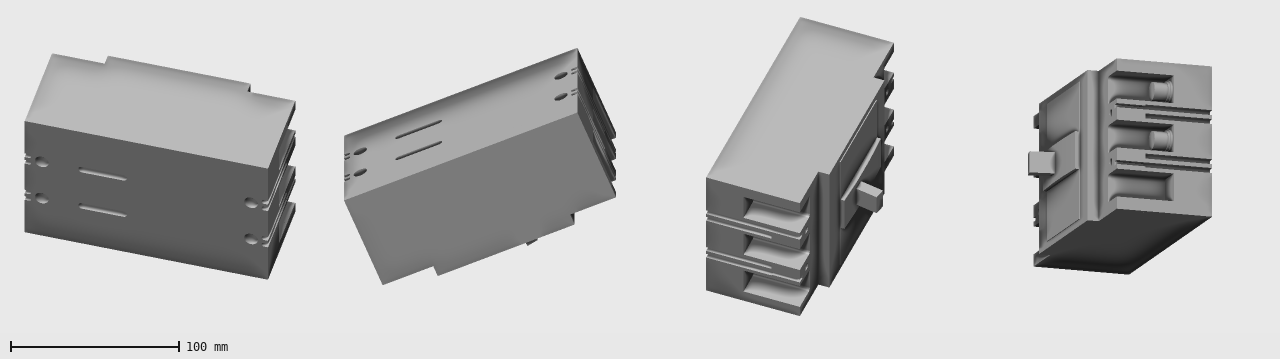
import cadquery as cq
import math


LENGTH = 150.0
HEIGHT = 92.0
BASE_TOP = 42.0
LEDGE_TOP = 60.0
COVER_TOP = 67.0
OVERALL_DEPTH = 86.0
RAISED_LEFT = -42.5
RAISED_LENGTH = 88.0

POLE_PITCH = 30.0
POLE_LEVELS = (-POLE_PITCH, 0.0, POLE_PITCH)
POCKET_FLOOR = 24.0
POCKET_DEPTH = 16.0
POCKET_WIDTH = 17.0
POCKET_CORNER_RADIUS = 2.0

BARRIER_LEVELS = (-POLE_PITCH / 2, POLE_PITCH / 2)
ENDS = (-1, 1)
GROOVE_DEPTH = 4.0
GROOVE_WIDTH = 3.0
GROOVE_OFFSET = 2.7
COVER_GROOVE_WIDTH = 2.4
COVER_GROOVE_OFFSET = GROOVE_OFFSET - (GROOVE_WIDTH - COVER_GROOVE_WIDTH) / 2

MOUNT_HOLE_X = 64.5
MOUNT_HOLE_DIAMETER = 4.5
COUNTERBORE_DIAMETER = 8.5
COUNTERBORE_DEPTH = 8.0

BACK_SLOT_X = -27.0
BACK_SLOT_LENGTH = 30.0
BACK_SLOT_WIDTH = 4.5
BACK_SLOT_DEPTH = 5.0

PLATE_LENGTH = 58.0
PLATE_HEIGHT = 84.0
PLATE_THICKNESS = 0.6
COLLAR_HEIGHT = 23.0
COLLAR_EDGE = 70.1
COLLAR_CROWN = 71.0

LEVER_TILT = 10.0
LEVER_THICKNESS = 7.0
LEVER_WIDTH = 13.0
LEVER_FOOT_X = 8.3

SCREW_LEVELS = (0.0, POLE_PITCH)
SCREW_X = -66.2
SCREW_HEAD_DIAMETER = 11.2
SCREW_HEAD_TOP = 35.0
SPRING_WASHER_DIAMETER = 13.0
SPRING_WASHER_THICKNESS = 1.4
FLAT_WASHER_DIAMETER = 14.3
FLAT_WASHER_THICKNESS = 1.3


def block(x_min, x_max, y_min, y_max, height, z_center=0.0):
    """Box between two X and two Y limits, centred on a Z level."""
    return cq.Workplane("XY").box(
        x_max - x_min, y_max - y_min, height, centered=(False, False, True)
    ).translate((x_min, y_min, z_center))


def rod(x, z, diameter, y_min, y_max):
    """Cylinder along Y."""
    return cq.Workplane(cq.Solid.makeCylinder(
        diameter / 2, y_max - y_min, cq.Vector(x, y_min, z), cq.Vector(0, 1, 0)
    ))


def end_block(end, depth, y_min, y_max, height, z_center):
    """Box reaching inwards from one end face of the housing."""
    outer = end * LENGTH / 2
    inner = end * (LENGTH / 2 - depth)
    return block(min(outer, inner), max(outer, inner), y_min, y_max, height, z_center)


def terminal_pocket(end, z):
    inner_edges = ">X" if end < 0 else "<X"
    pocket = end_block(end, POCKET_DEPTH, POCKET_FLOOR, LEDGE_TOP, POCKET_WIDTH, z)
    return pocket.faces(inner_edges).edges("|Y").fillet(POCKET_CORNER_RADIUS)


def barrier_groove(end, z):
    """Round-bottomed groove in the base."""
    radius = GROOVE_WIDTH / 2
    flank = end_block(end, GROOVE_DEPTH - radius, 0, BASE_TOP, GROOVE_WIDTH, z)
    return flank.union(rod(end * (LENGTH / 2 - GROOVE_DEPTH + radius), z, GROOVE_WIDTH, 0, BASE_TOP))


def back_slot(z):
    return (
        cq.Workplane("XZ")
        .center(BACK_SLOT_X, z)
        .slot2D(BACK_SLOT_LENGTH, BACK_SLOT_WIDTH)
        .extrude(-BACK_SLOT_DEPTH)
    )


def make_base():
    base = block(-LENGTH / 2, LENGTH / 2, 0, BASE_TOP, HEIGHT)
    for end in ENDS:
        for z in POLE_LEVELS:
            base = base.cut(terminal_pocket(end, z))
        for z in BARRIER_LEVELS:
            base = base.cut(barrier_groove(end, z - GROOVE_OFFSET))
            base = base.cut(barrier_groove(end, z + GROOVE_OFFSET))
            base = base.cut(rod(end * MOUNT_HOLE_X, z, MOUNT_HOLE_DIAMETER, 0, BASE_TOP))
            base = base.cut(rod(end * MOUNT_HOLE_X, z, COUNTERBORE_DIAMETER, 0, COUNTERBORE_DEPTH))
    for z in BARRIER_LEVELS:
        base = base.cut(back_slot(z))
    return base


def make_cover():
    cover = block(-LENGTH / 2, LENGTH / 2, BASE_TOP, LEDGE_TOP, HEIGHT)
    raised = block(RAISED_LEFT, RAISED_LEFT + RAISED_LENGTH, LEDGE_TOP, COVER_TOP, HEIGHT)
    cover = cover.union(raised)
    for end in ENDS:
        for z in POLE_LEVELS:
            cover = cover.cut(terminal_pocket(end, z))
        for z in BARRIER_LEVELS:
            groove_z = z + math.copysign(COVER_GROOVE_OFFSET, z)
            cover = cover.cut(
                end_block(end, GROOVE_DEPTH, BASE_TOP, LEDGE_TOP, COVER_GROOVE_WIDTH, groove_z)
            )
            cover = cover.cut(rod(end * MOUNT_HOLE_X, z, MOUNT_HOLE_DIAMETER, BASE_TOP, LEDGE_TOP))
    return cover


def make_face_plate():
    """Thin plate with a crowned collar across its middle."""
    half = PLATE_LENGTH / 2
    plate = block(-half, half, COVER_TOP, COVER_TOP + PLATE_THICKNESS, PLATE_HEIGHT)
    collar = (
        cq.Workplane("XY")
        .workplane(offset=-COLLAR_HEIGHT / 2)
        .moveTo(-half, COVER_TOP)
        .lineTo(-half, COLLAR_EDGE)
        .threePointArc((0, COLLAR_CROWN), (half, COLLAR_EDGE))
        .lineTo(half, COVER_TOP)
        .close()
        .extrude(COLLAR_HEIGHT)
    )
    return plate.union(collar)


def make_lever(face_plate):
    """Tilted bar whose foot follows the crown of the collar."""
    tilt = math.radians(LEVER_TILT)
    tip_center_y = OVERALL_DEPTH - LEVER_THICKNESS / 2 * math.sin(tilt)
    foot_inset = (COLLAR_CROWN - COVER_TOP) / 2
    bar_length = (tip_center_y - COLLAR_CROWN) / math.cos(tilt)
    bar = block(-LEVER_THICKNESS / 2, LEVER_THICKNESS / 2, -foot_inset, bar_length, LEVER_WIDTH)
    bar = bar.rotate((0, 0, 0), (0, 0, 1), -LEVER_TILT)
    return bar.translate((LEVER_FOOT_X, COLLAR_CROWN, 0)).cut(face_plate)


def make_terminal_screw(z):
    """Screw head with its two washers, standing on the pocket floor."""
    flat_top = POCKET_FLOOR + FLAT_WASHER_THICKNESS
    spring_top = flat_top + SPRING_WASHER_THICKNESS
    flat_washer = rod(SCREW_X, z, FLAT_WASHER_DIAMETER, POCKET_FLOOR, flat_top)
    spring_washer = rod(SCREW_X, z, SPRING_WASHER_DIAMETER, flat_top, spring_top)
    head = rod(SCREW_X, z, SCREW_HEAD_DIAMETER, spring_top, SCREW_HEAD_TOP)
    return flat_washer.union(spring_washer).union(head)


base = make_base()
cover = make_cover()
face_plate = make_face_plate()
lever = make_lever(face_plate)
screws = [make_terminal_screw(z).val() for z in SCREW_LEVELS]

result = cq.Compound.makeCompound([base.val(), cover.val(), face_plate.val(), lever.val(), *screws])